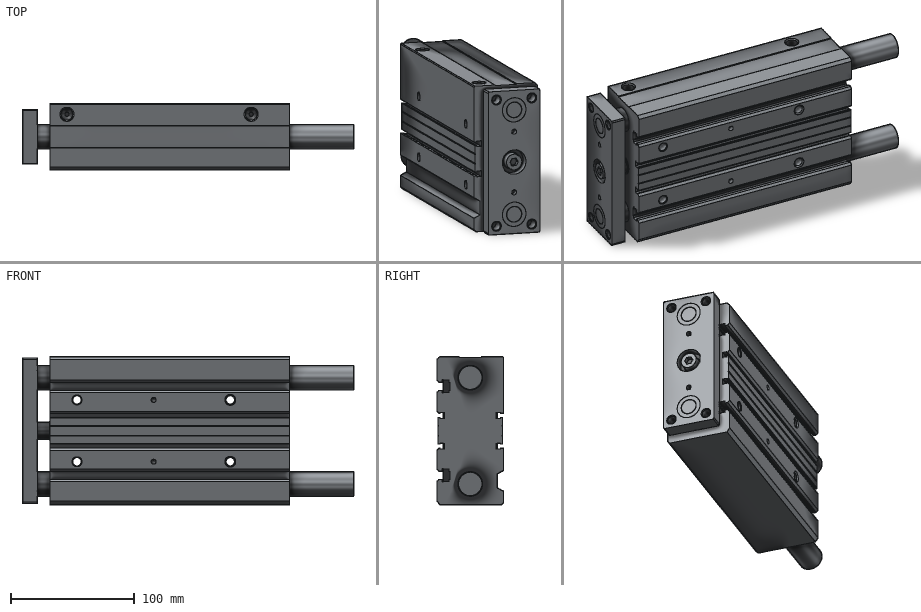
import cadquery as cq
import math


plate_thick = 12.0
plate_width = 44.0
plate_height = 118.0
plate_chamfer_y = 0.6
plate_chamfer_z = 1.4

plate_gap = 10.0
housing_length = 194.0
housing_width = 54.0
housing_height = 120.0
total_length = 268.0

housing_start = plate_thick + plate_gap
half_width = housing_width / 2
half_height = housing_height / 2

guide_dia = 20.0
guide_offset = 43.0
guide_end_chamfer = 0.5
bolt_head_dia = 13.0
bolt_gap_width = 0.2
bolt_head_depth = 8.0
piston_dia = 16.0
piston_neck_dia = 14.0
piston_cone_start = housing_start - 0.4
piston_end = housing_start + 150.0
hex_across_flats = 6.0
hex_depth = 4.0
plate_counterbore_dia = 20.0

corner_hole_y = 15.0
corner_hole_z = 52.0
corner_hole_dia = 6.8
corner_mouth_dia = 8.2
pin_hole_z = 25.0
pin_hole_dia = 4.0
plate_pin_depth = 6.0

mount_hole_z = 25.0
plain_hole_x = housing_start + 22.0
pin_hole_x = plain_hole_x + 62.0
threaded_hole_x = plain_hole_x + 124.0
mount_hole_dia = 6.8
plain_mouth_dia = 8.0
threaded_mouth_dia = 8.8
housing_pin_depth = 5.0
drill_tip_angle = 118.0

port_y = 18.2
port_x_positions = (35.9, 184.9)
port_mouth_dia = 11.4
port_dia = 9.4
port_depth = 10.0
port_feed_dia = 3.4
port_feed_depth = 22.0

front_top_chamfer = 2.4
front_bottom_chamfer = (2.4, 3.3)
back_top_chamfer = 0.8
back_bottom_chamfer = 1.8

top_recess_half_width = 9.2
top_recess_floor_half_width = 8.6
top_recess_depth = 0.5

sensor_slot_z = 36.0
sensor_mouth = 6.5
sensor_inner = 10.4
sensor_lip = 4.2
sensor_depth = 9.8
sensor_relief_depth = 10.8
slot_chamfer = 1.8

narrow_slot_z = 12.4
narrow_mouth = 3.2
narrow_inner = 4.6
narrow_lip = 2.6
narrow_depth = 6.2

band_setback = 0.9
band_edge_chamfer = 0.4
groove_z = 4.0
groove_width = 0.8
groove_depth = 0.5

back_slot_z = -40.5
back_slot_mouth = 16.6
back_slot_floor = 11.4
back_slot_depth = 5.0


def prism(points):
    """Extrude a closed Y-Z outline over the housing length."""
    outline = cq.Workplane("YZ").workplane(offset=housing_start)
    return outline.polyline(points).close().extrude(housing_length)


def slab(y_min, y_max, z_min, z_max):
    """Rectangular prism over the housing length."""
    return prism([(y_min, z_min), (y_max, z_min), (y_max, z_max), (y_min, z_max)])


def rod(diameter, x_start, x_end, z):
    """Cylinder along X with its axis at Y = 0 and height z."""
    base = cq.Workplane("YZ").workplane(offset=x_start)
    return base.center(0, z).circle(diameter / 2).extrude(x_end - x_start)


def stepped_hole(origin, direction, rings):
    """Revolved cutter: rings are (depth, diameter) pairs, from the mouth inwards."""
    last_depth, last_diameter = rings[-1]
    points = [(0, 0)] + [(diameter / 2, depth) for depth, diameter in rings]
    if last_diameter > 0:
        points.append((0, last_depth))
    inwards = cq.Vector(*direction)
    across = cq.Vector(0, 0, 1) if direction[2] == 0 else cq.Vector(1, 0, 0)
    plane = cq.Plane(origin=origin, xDir=across, normal=across.cross(inwards))
    return cq.Workplane(plane).polyline(points).close().revolve(360, (0, 0), (0, 1))


def tip_length(start_diameter, end_diameter=0.0):
    """Length of the cone a twist drill leaves between two diameters."""
    return (start_diameter - end_diameter) / 2 / math.tan(math.radians(drill_tip_angle / 2))


def chamfered_hole(origin, direction, mouth, diameter, depth):
    """Hole with a 45 degree chamfer at its mouth."""
    chamfer = (mouth - diameter) / 2
    rings = [(0, mouth), (chamfer, diameter), (depth, diameter)]
    return stepped_hole(origin, direction, rings)


def pin_hole(origin, direction, depth):
    """Blind pin hole with a drill tip."""
    tip_depth = depth + tip_length(pin_hole_dia)
    rings = [(0, pin_hole_dia), (depth, pin_hole_dia), (tip_depth, 0)]
    return stepped_hole(origin, direction, rings)


def make_guide_rod(z):
    """Guide rod through plate and housing, with a flush bolt head set in its plate end."""
    guide = rod(guide_dia, 0, total_length, z).faces(">X").chamfer(guide_end_chamfer)
    gap = rod(bolt_head_dia, 0, bolt_head_depth, z)
    gap = gap.cut(rod(bolt_head_dia - 2 * bolt_gap_width, 0, bolt_head_depth, z))
    return guide.cut(gap)


def make_piston_rod():
    """Stepped piston rod with a flush socket head at the plate end."""
    head_radius = bolt_head_dia / 2
    neck_radius = piston_neck_dia / 2
    radius = piston_dia / 2
    profile = [
        (0, 0),
        (0, head_radius),
        (bolt_head_depth, head_radius),
        (bolt_head_depth, neck_radius),
        (piston_cone_start, neck_radius),
        (piston_cone_start + radius - neck_radius, radius),
        (piston_end, radius),
        (piston_end, 0),
    ]
    piston = cq.Workplane("XY").polyline(profile).close().revolve(360, (0, 0), (1, 0))
    hex_corner_dia = hex_across_flats / math.cos(math.pi / 6)
    socket = cq.Workplane("YZ").polygon(6, hex_corner_dia).extrude(hex_depth)
    return piston.cut(socket)


def make_plate():
    """End plate with chamfered long edges, rod seats, corner holes and pin holes."""
    half_y = plate_width / 2
    half_z = plate_height / 2
    inner_y = half_y - plate_chamfer_y
    inner_z = half_z - plate_chamfer_z
    outline = [
        (inner_y, half_z), (half_y, inner_z), (half_y, -inner_z), (inner_y, -half_z),
        (-inner_y, -half_z), (-half_y, -inner_z), (-half_y, inner_z), (-inner_y, half_z),
    ]
    plate = cq.Workplane("YZ").polyline(outline).close().extrude(plate_thick)

    plate = plate.cut(rod(plate_counterbore_dia, 0, bolt_head_depth, 0))
    plate = plate.cut(rod(piston_neck_dia, 0, plate_thick, 0))
    for side in (1, -1):
        plate = plate.cut(rod(guide_dia, 0, plate_thick, side * guide_offset))
        plate = plate.cut(pin_hole((0, 0, side * pin_hole_z), (1, 0, 0), plate_pin_depth))
        for across in (1, -1):
            corner = (0, across * corner_hole_y, side * corner_hole_z)
            hole = chamfered_hole(
                corner, (1, 0, 0), corner_mouth_dia, corner_hole_dia, plate_thick
            )
            plate = plate.cut(hole)
    return plate


def make_housing_block():
    """Housing block with unequal corner chamfers and the recess along its top face."""
    bottom_y, bottom_z = front_bottom_chamfer
    block = prism([
        (-half_width, half_height - front_top_chamfer),
        (-half_width + front_top_chamfer, half_height),
        (half_width - back_top_chamfer, half_height),
        (half_width, half_height - back_top_chamfer),
        (half_width, -half_height + back_bottom_chamfer),
        (half_width - back_bottom_chamfer, -half_height),
        (-half_width + bottom_y, -half_height),
        (-half_width, -half_height + bottom_z),
    ])
    recess = prism([
        (-top_recess_half_width, half_height),
        (-top_recess_floor_half_width, half_height - top_recess_depth),
        (top_recess_floor_half_width, half_height - top_recess_depth),
        (top_recess_half_width, half_height),
    ])
    return block.cut(recess)


def t_slot(side, z, mouth, inner, lip, depth):
    """T-slot cutter opening on the -Y face (side -1) or the +Y face (side 1)."""
    y_face = side * half_width
    y_lip = side * (half_width - lip)
    y_floor = side * (half_width - depth)
    return prism([
        (y_face, z - mouth / 2), (y_lip, z - mouth / 2),
        (y_lip, z - inner / 2), (y_floor, z - inner / 2),
        (y_floor, z + inner / 2), (y_lip, z + inner / 2),
        (y_lip, z + mouth / 2), (y_face, z + mouth / 2),
    ])


def edge_chamfer(y_face, z_edge, step):
    """Cutter for a slot edge on a face towards -Y; step is signed, from the slot into the land."""
    return prism([
        (y_face, z_edge),
        (y_face, z_edge + step),
        (y_face + abs(step), z_edge),
    ])


def sensor_slot_cutters():
    """Two T-slots on the -Y face with chamfered mouths and relieved floors."""
    half_mouth = sensor_mouth / 2
    y_relief = -half_width + sensor_relief_depth
    cutters = []
    for z in (sensor_slot_z, -sensor_slot_z):
        cutters.append(slab(-half_width, y_relief, z - half_mouth, z + half_mouth))
        cutters.append(t_slot(-1, z, sensor_mouth, sensor_inner, sensor_lip, sensor_depth))
        cutters.append(edge_chamfer(-half_width, z + half_mouth, slot_chamfer))
        cutters.append(edge_chamfer(-half_width, z - half_mouth, -slot_chamfer))
    return cutters


def centre_band_cutters():
    """Set-back grooved band between two narrow T-slots, on both wide faces."""
    cutters = []
    for side in (-1, 1):
        y_face = side * half_width
        y_band = side * (half_width - band_setback)
        y_groove = y_band - side * groove_depth
        cutters.append(slab(y_band, y_face, -narrow_slot_z, narrow_slot_z))
        for z_sign in (1, -1):
            z = z_sign * narrow_slot_z
            cutters.append(t_slot(side, z, narrow_mouth, narrow_inner, narrow_lip, narrow_depth))
            z = z_sign * groove_z
            cutters.append(prism([
                (y_band, z - groove_width / 2),
                (y_band, z + groove_width / 2),
                (y_groove, z),
            ]))
    for z_sign in (1, -1):
        outer_edge = z_sign * (narrow_slot_z + narrow_mouth / 2)
        band_edge = z_sign * (narrow_slot_z - narrow_mouth / 2)
        front_band = -half_width + band_setback
        cutters.append(edge_chamfer(-half_width, outer_edge, z_sign * slot_chamfer))
        cutters.append(edge_chamfer(front_band, band_edge, -z_sign * band_edge_chamfer))
    return cutters


def back_slot_cutter():
    """Slot with sloping sides on the +Y face."""
    y_floor = half_width - back_slot_depth
    return prism([
        (half_width, back_slot_z - back_slot_mouth / 2),
        (y_floor, back_slot_z - back_slot_floor / 2),
        (y_floor, back_slot_z + back_slot_floor / 2),
        (half_width, back_slot_z + back_slot_mouth / 2),
    ])


def mounting_hole_cutters():
    """Through mounting holes and blind pin holes on the -Y face."""
    inwards = (0, 1, 0)
    cutters = []
    for z in (mount_hole_z, -mount_hole_z):
        for x, mouth in ((plain_hole_x, plain_mouth_dia), (threaded_hole_x, threaded_mouth_dia)):
            origin = (x, -half_width, z)
            cutters.append(chamfered_hole(origin, inwards, mouth, mount_hole_dia, housing_width))
        cutters.append(pin_hole((pin_hole_x, -half_width, z), inwards, housing_pin_depth))
    return cutters


def port_cutters():
    """Air ports on the top face: chamfered bore, drill tip and narrow feed hole."""
    chamfer = (port_mouth_dia - port_dia) / 2
    rings = [
        (0, port_mouth_dia),
        (chamfer, port_dia),
        (port_depth, port_dia),
        (port_depth + tip_length(port_dia, port_feed_dia), port_feed_dia),
        (port_feed_depth, port_feed_dia),
    ]
    return [stepped_hole((x, port_y, half_height), (0, 0, -1), rings) for x in port_x_positions]


def make_housing():
    """Housing with its slots, holes, ports and rod bores."""
    housing = make_housing_block()
    cutters = sensor_slot_cutters() + centre_band_cutters() + [back_slot_cutter()]
    cutters += mounting_hole_cutters() + port_cutters()
    for z in (guide_offset, -guide_offset):
        cutters.append(rod(guide_dia, housing_start, housing_start + housing_length, z))
    cutters.append(rod(piston_dia, housing_start, piston_end, 0))
    for cutter in cutters:
        housing = housing.cut(cutter)
    return housing


housing = make_housing()
plate = make_plate()
piston_rod = make_piston_rod()
guide_rods = [make_guide_rod(z) for z in (guide_offset, -guide_offset)]

result = cq.Compound.makeCompound([
    housing.val(),
    plate.val(),
    piston_rod.val(),
    *[guide.val() for guide in guide_rods],
])